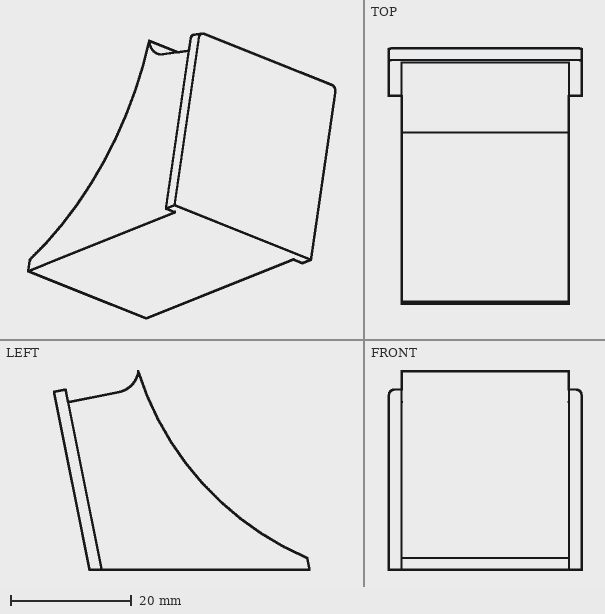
import cadquery as cq
import math

plate_width = 32.0
overall_depth = 42.43
overall_height = 32.93

tilt = math.radians(11.31)
plate_thickness = 2.0
plate_height = 30.5
plate_corner_radius = 1.0

body_inset = 2.15
body_width = plate_width - 2 * body_inset
shelf_length = 8.6
shelf_fillet_radius = 4.0
front_curve_radius = 50.0
toe_length = 2.0

up_slope = (math.sin(tilt), math.cos(tilt))
out_of_plate = (-math.cos(tilt), math.sin(tilt))


def move(point, direction, amount):
    """Shift a (y, z) point by a multiple of a (y, z) vector."""
    return (point[0] + direction[0] * amount, point[1] + direction[1] * amount)


def arc_middle(start, end, centre, radius):
    """Middle point of the shorter arc from start to end about a centre."""
    dy = (start[0] + end[0]) / 2 - centre[0]
    dz = (start[1] + end[1]) / 2 - centre[1]
    return move(centre, (dy, dz), radius / math.hypot(dy, dz))


def extrude_across(profile, width):
    """Extrude a YZ profile symmetrically about the X = 0 plane."""
    return profile.close().extrude(width / 2, both=True)


plate_foot = (0.0, 0.0)
plate_front_top = move(plate_foot, up_slope, plate_height)
plate_back_top = move(plate_front_top, out_of_plate, -plate_thickness)
plate_back_foot = (plate_thickness / math.cos(tilt), 0.0)


def make_plate():
    profile = cq.Workplane("YZ").polyline([plate_foot, plate_front_top, plate_back_top, plate_back_foot])
    plate = extrude_across(profile, plate_width)
    top_side_edges = cq.selectors.ParallelDirSelector(cq.Vector(0, *out_of_plate))
    return plate.edges(top_side_edges).fillet(plate_corner_radius)


def make_body():
    toe_bottom = (plate_back_top[0] - overall_depth, 0.0)
    toe_top = move(toe_bottom, up_slope, toe_length)

    shelf_back = move(plate_foot, up_slope, plate_height - body_inset)
    shelf_front = move(shelf_back, out_of_plate, shelf_length)

    fillet_centre = move(shelf_front, up_slope, shelf_fillet_radius)
    tip_drop = fillet_centre[1] - overall_height
    tip = (fillet_centre[0] - math.sqrt(shelf_fillet_radius**2 - tip_drop**2), overall_height)
    fillet_middle = arc_middle(shelf_front, tip, fillet_centre, shelf_fillet_radius)

    chord = (toe_top[0] - tip[0], toe_top[1] - tip[1])
    chord_length = math.hypot(*chord)
    sagitta = front_curve_radius - math.sqrt(front_curve_radius**2 - (chord_length / 2) ** 2)
    chord_middle = move(tip, chord, 0.5)
    inward = (-chord[1] / chord_length, chord[0] / chord_length)
    curve_middle = move(chord_middle, inward, sagitta)

    profile = (
        cq.Workplane("YZ")
        .moveTo(*plate_foot)
        .lineTo(*shelf_back)
        .lineTo(*shelf_front)
        .threePointArc(fillet_middle, tip)
        .threePointArc(curve_middle, toe_top)
        .lineTo(*toe_bottom)
    )
    return extrude_across(profile, body_width)


result = make_plate().union(make_body())